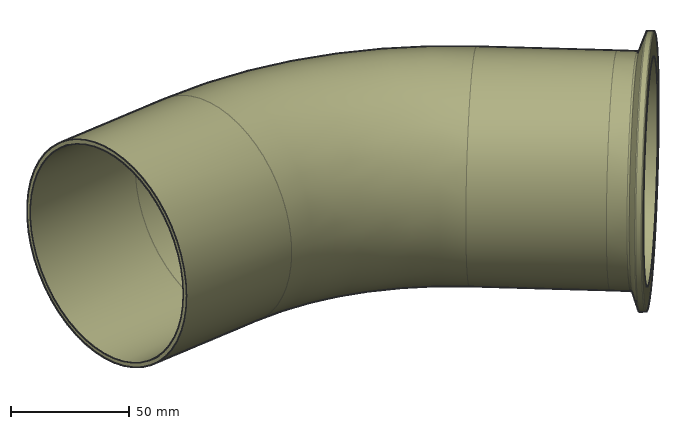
import cadquery as cq
import math

tube_radius = 101.5 / 2
bore_radius = 97.5 / 2

inlet_length = 59.2
bend_radius = 152.4
bend_angle = 45
outlet_length = 75.1

ferrule_length = 15.7
flange_radius = 118.9 / 2
rim_thickness = 3.1
root_thickness = 6.3
root_fillet = 1.0
rim_fillet = 0.5

angle = math.radians(bend_angle)
outlet_direction = cq.Vector(math.sin(angle), math.cos(angle), 0)
bend_end = cq.Vector(
    bend_radius * (1 - math.cos(angle)),
    inlet_length + bend_radius * math.sin(angle),
    0,
)
ferrule_start = bend_end + outlet_direction * (outlet_length - ferrule_length)


def bent_rod(radius):
    """Solid round rod along the centre line, from the inlet to the start of the ferrule."""
    centre_line = (
        cq.Workplane("XY")
        .lineTo(0, inlet_length)
        .tangentArcPoint(bend_end, relative=False)
        .lineTo(ferrule_start.x, ferrule_start.y)
    )
    return cq.Workplane("XZ").circle(radius).sweep(centre_line)


def ferrule():
    """Clamp ferrule, turned upright about Z and then set on the end of the tube."""
    root_height = ferrule_length - root_thickness
    rim_height = ferrule_length - rim_thickness
    profile = [
        (bore_radius, 0),
        (tube_radius, 0),
        (tube_radius, root_height),
        (flange_radius, rim_height),
        (flange_radius, ferrule_length),
        (bore_radius, ferrule_length),
    ]
    turned = cq.Workplane("XZ").polyline(profile).close().revolve(360, (0, 0), (0, 1))

    tube_circles = cq.selectors.RadiusNthSelector(1)
    turned = turned.edges("%CIRCLE").edges(tube_circles).edges(">Z").fillet(root_fillet)
    flange_circles = cq.selectors.RadiusNthSelector(-1)
    turned = turned.edges("%CIRCLE").edges(flange_circles).fillet(rim_fillet)

    outlet_end = cq.Plane(origin=ferrule_start, xDir=(0, 0, 1), normal=outlet_direction)
    return turned.val().moved(cq.Location(outlet_end))


tube = bent_rod(tube_radius).cut(bent_rod(bore_radius))
result = tube.union(ferrule(), clean=False).solids()